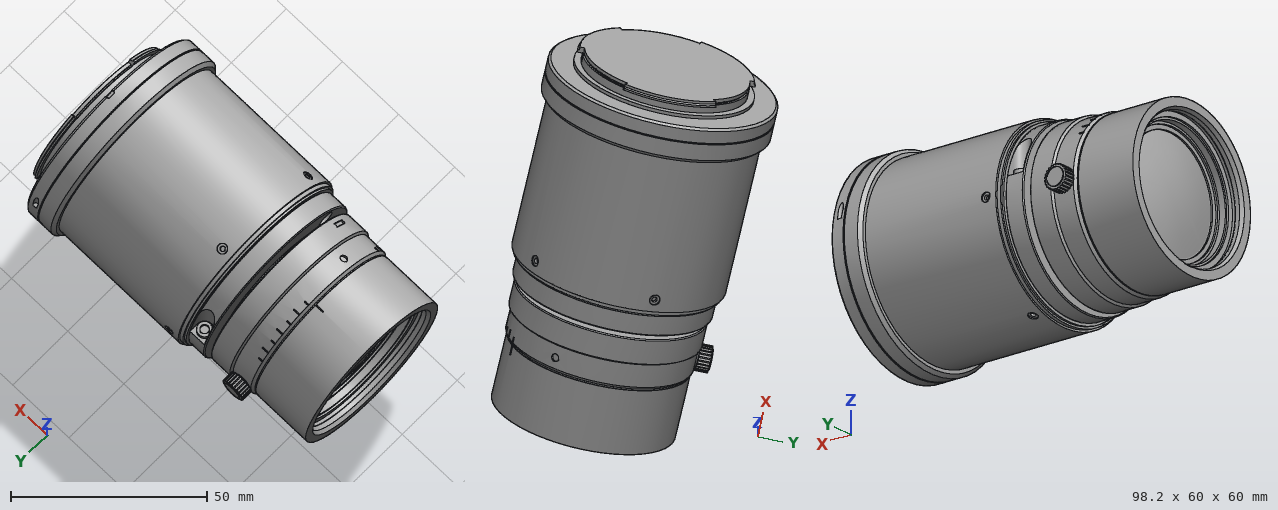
import cadquery as cq
import math

total_length = 98.2

hood_end, hood_radius = 17.9, 24.1
hood_groove_end, hood_groove_radius = 18.3, 23.9
iris_start, iris_end, iris_radius = 19.0, 25.3, 24.5
focus_start, focus_end, focus_radius = 25.8, 32.6, 25.2
neck_radius = 19.3
lock_start, lock_end, lock_radius = 34.1, 39.9, 26.1
collar_start, collar_radius, collar_step_radius = 40.4, 27.4, 26.8
barrel_start, barrel_radius = 41.5, 28.0
flange_start, flange_end, flange_diameter = 83.9, 93.7, 60.0
flange_radius = flange_diameter / 2
flange_front_chamfer, flange_rear_chamfer = 1.0, 0.6
flange_seam_x, flange_seam_width, flange_seam_depth = 89.3, 0.3, 0.2
seat_end, seat_radius = 94.5, 23.6
mount_neck_radius = 21.8
lug_start, lug_radius, lug_rim_radius = 96.7, 23.2, 22.8
lug_bevel_start, lug_bevel_end = 97.2, 97.5
ring_chamfer = 0.3

mouth_radius, mouth_depth = 21.5, 3.6
thread_start, thread_end, thread_radius = 1.1, 2.6, 20.9
relief_radius = 21.2
bore_entry_radius, bore_entry_depth = 19.6, 4.2
bore_radius, bore_depth = 19.0, 6.2
retainer_radius, retainer_depth = 18.4, 6.8
lens_seat_radius, lens_radius, lens_edge_depth = 17.1, 16.8, 7.3
lens_apex_depth = 4.8

cut_clearance = 1.0

iris_screw_angles = (-60, 60)
iris_screw_x, iris_screw_diameter, iris_screw_depth = 21.9, 2.1, 0.6
barrel_screw_count, first_barrel_screw_angle = 5, 36
barrel_screw_x, barrel_screw_diameter, barrel_screw_recess = 44.8, 2.7, 0.4
socket_diameter, socket_depth = 1.4, 1.2

iris_dot_x, iris_dot_diameter = 23.9, 1.5
mark_depth, mark_width = 0.15, 0.3
tick_count, tick_pitch, first_tick_angle = 7, 7.9, -21.8
short_tick, long_tick = 1.4, 2.1
scale_offsets = (0, 120)
index_angles = (-20, 95)
index_length = 2.65

knob_x, knob_radius = 22.0, 3.5
knob_cap_radius, knob_cap_height = 2.65, 0.3
knob_base, knob_top = 24.8, 28.4
knob_stem_radius = 2.5
knurl_count, knurl_radius = 24, 0.3

lock_slot_x, lock_slot_y, lock_slot_width, lock_slot_floor = 37.1, 22.9, 5.1, 5.2
lock_head_diameter, lock_head_height = 4.1, 1.5
lock_socket_diameter, lock_socket_depth = 2.5, 1.0

focus_slot_start, focus_slot_end, focus_slot_angle = 29.6, 30.8, 40
focus_slot_length, focus_slot_depth = 4.3, 0.5
lock_hole_angle, lock_hole_distance = 37, 22.7
lock_hole_diameter, lock_hole_depth = 4.5, 4.9

flange_hole_x, flange_hole_y, flange_hole_diameter, flange_hole_floor = 91.1, 29.2, 1.5, 4.9

mount_dot_diameter, mount_dot_depth = 2.5, 0.4

lug_gaps = ((-61, -1), (57, 113), (178, 236))
gap_channel_width, gap_channel_radius, gap_rim_radius = 0.5, 21.2, 21.6
mount_pin_x, mount_pin_angle = 95.6, -2.8
mount_pin_diameter, mount_pin_recess = 2.0, 0.3


def radial_direction(angle):
    a = math.radians(angle)
    return cq.Vector(0, -math.cos(a), math.sin(a))


def radial_cylinder(x, angle, inner, outer, diameter):
    direction = radial_direction(angle)
    start = cq.Vector(x, 0, 0) + direction * inner
    return cq.Workplane(cq.Solid.makeCylinder(diameter / 2, outer - inner, start, direction))


def radial_box(x_start, x_end, angle, inner, outer, width):
    box = cq.Workplane("XY").box(x_end - x_start, outer - inner, width)
    box = box.translate(((x_start + x_end) / 2, -(inner + outer) / 2, 0))
    return box.rotate((0, 0, 0), (1, 0, 0), -angle)


def make_body():
    outside = [
        (0, hood_radius),
        (hood_end, hood_radius),
        (hood_end, hood_groove_radius),
        (hood_groove_end, hood_groove_radius),
        (iris_start, iris_radius),
        (iris_end, iris_radius),
        (focus_start, focus_radius),
        (focus_end - ring_chamfer, focus_radius),
        (focus_end, focus_radius - ring_chamfer),
        (focus_end, neck_radius),
        (lock_start, neck_radius),
        (lock_start, lock_radius - ring_chamfer),
        (lock_start + ring_chamfer, lock_radius),
        (lock_end - ring_chamfer, lock_radius),
        (lock_end, lock_radius - ring_chamfer),
        (lock_end, collar_step_radius),
        (collar_start, collar_step_radius),
        (collar_start, collar_radius),
        (barrel_start, collar_radius),
        (barrel_start, barrel_radius),
        (flange_start, barrel_radius),
        (flange_start, flange_radius - flange_front_chamfer),
        (flange_start + flange_front_chamfer, flange_radius),
        (flange_seam_x, flange_radius),
        (flange_seam_x, flange_radius - flange_seam_depth),
        (flange_seam_x + flange_seam_width, flange_radius - flange_seam_depth),
        (flange_seam_x + flange_seam_width, flange_radius),
        (flange_end - flange_rear_chamfer, flange_radius),
        (flange_end, flange_radius - flange_rear_chamfer),
        (flange_end, seat_radius),
        (seat_end, seat_radius),
        (seat_end, mount_neck_radius),
        (lug_start, mount_neck_radius),
        (lug_start, lug_radius),
        (lug_bevel_start, lug_radius),
        (lug_bevel_end, lug_rim_radius),
        (total_length, lug_rim_radius),
        (total_length, 0),
        (lens_apex_depth, 0),
    ]
    opening = [
        (lens_edge_depth, lens_seat_radius),
        (retainer_depth, lens_seat_radius),
        (retainer_depth, retainer_radius),
        (bore_depth, retainer_radius),
        (bore_depth, bore_radius),
        (bore_entry_depth, bore_radius),
        (bore_entry_depth, bore_entry_radius),
        (mouth_depth, bore_entry_radius),
        (mouth_depth, relief_radius),
        (thread_end, relief_radius),
        (thread_end, thread_radius),
        (thread_start, thread_radius),
        (0, mouth_radius),
    ]
    sag = lens_edge_depth - lens_apex_depth
    sphere_radius = (lens_radius**2 + sag**2) / (2 * sag)
    half_radius = lens_radius / 2
    mid_depth = lens_apex_depth + sphere_radius - math.sqrt(sphere_radius**2 - half_radius**2)
    profile = cq.Workplane("XY").polyline(outside)
    profile = profile.threePointArc((mid_depth, half_radius), (lens_edge_depth, lens_radius))
    for point in opening:
        profile = profile.lineTo(*point)
    return profile.close().revolve(360, (0, 0, 0), (1, 0, 0))


def cut_lug_gaps(body):
    mount_face = cq.Workplane("YZ", origin=(lug_start, 0, 0))
    core = mount_face.circle(gap_channel_radius).extrude(total_length - lug_start)
    rim = (
        mount_face.workplane(offset=gap_channel_width)
        .circle(gap_rim_radius)
        .extrude(total_length - lug_start - gap_channel_width)
    )
    core = core.union(rim)
    for first, last in lug_gaps:
        middle = (first + last) / 2
        reach = 2 * lug_radius
        half_width = reach * math.tan(math.radians(last - first) / 2)
        wedge = (
            mount_face.polyline([(0, 0), (-reach, -half_width), (-reach, half_width)])
            .close()
            .extrude(total_length - lug_start)
            .rotate((0, 0, 0), (1, 0, 0), -middle)
        )
        body = body.cut(wedge.cut(core))
    return body


def cut_socket_screw(body, x, angle, radius, diameter, recess):
    body = body.cut(radial_cylinder(x, angle, radius - recess, radius + cut_clearance, diameter))
    return body.cut(radial_cylinder(x, angle, radius - socket_depth, radius, socket_diameter))


def cut_screws(body):
    for angle in iris_screw_angles:
        inner = iris_radius - iris_screw_depth
        hole = radial_cylinder(iris_screw_x, angle, inner, iris_radius + cut_clearance, iris_screw_diameter)
        body = body.cut(hole)
    for i in range(barrel_screw_count):
        angle = first_barrel_screw_angle + i * 360 / barrel_screw_count
        body = cut_socket_screw(
            body, barrel_screw_x, angle, barrel_radius, barrel_screw_diameter, barrel_screw_recess
        )
    return cut_socket_screw(
        body, mount_pin_x, mount_pin_angle, mount_neck_radius, mount_pin_diameter, mount_pin_recess
    )


def cut_scale(body):
    inner = iris_radius - mark_depth
    outer = iris_radius + cut_clearance
    for offset in scale_offsets:
        for i in range(tick_count):
            angle = offset + first_tick_angle + i * tick_pitch
            length = long_tick if i % 2 else short_tick
            tick = radial_box(iris_start, iris_start + length, angle, inner, outer, mark_width)
            body = body.cut(tick)
    for angle in index_angles:
        index_line = radial_box(
            hood_end - index_length,
            hood_end,
            angle,
            hood_radius - mark_depth,
            hood_radius + cut_clearance,
            mark_width,
        )
        body = body.cut(index_line)
    return body.cut(radial_cylinder(iris_dot_x, 0, inner, outer, iris_dot_diameter))


def knob_disc(base, top, radius):
    return cq.Workplane("XZ", origin=(knob_x, base, 0)).circle(radius).extrude(base - top)


def make_knob():
    rim_end = knob_top - knob_cap_height
    rim = knob_disc(knob_base, rim_end, knob_radius)
    knurls = (
        cq.Workplane("XZ", origin=(knob_x, knob_base, 0))
        .polarArray(knob_radius, 0, 360, knurl_count)
        .circle(knurl_radius)
        .extrude(knob_base - rim_end)
    )
    cap = knob_disc(rim_end, knob_top, knob_cap_radius)
    stem = knob_disc(neck_radius, knob_base, knob_stem_radius)
    return rim.cut(knurls).union(cap).union(stem)


def add_lock_screw(body):
    floor = cq.Workplane("XY", origin=(lock_slot_x, lock_slot_y, lock_slot_floor))
    round_end = floor.circle(lock_slot_width / 2).extrude(lock_radius)
    open_side = (
        floor.center(0, lock_slot_width / 2).rect(lock_slot_width, lock_slot_width).extrude(lock_radius)
    )
    head = (
        floor.circle(lock_head_diameter / 2)
        .extrude(lock_head_height)
        .faces(">Z")
        .workplane()
        .hole(lock_socket_diameter, lock_socket_depth)
    )
    return body.cut(round_end).cut(open_side).union(head)


def cut_focus_openings(body):
    slot = radial_box(
        focus_slot_start,
        focus_slot_end,
        focus_slot_angle,
        focus_radius - focus_slot_depth,
        focus_radius + cut_clearance,
        focus_slot_length,
    )
    hole_center = radial_direction(lock_hole_angle) * lock_hole_distance + cq.Vector(lock_start, 0, 0)
    hole = cq.Solid.makeCylinder(lock_hole_diameter / 2, lock_hole_depth, hole_center, cq.Vector(1, 0, 0))
    return body.cut(slot).cut(cq.Workplane(hole))


def cut_flange_marks(body):
    hole = (
        cq.Workplane("XY", origin=(flange_hole_x, flange_hole_y, flange_hole_floor))
        .circle(flange_hole_diameter / 2)
        .extrude(flange_radius)
    )
    normal = cq.Vector(1, 0, 1).normalized()
    chamfer_middle = cq.Vector(
        flange_end - flange_rear_chamfer / 2, 0, flange_radius - flange_rear_chamfer / 2
    )
    dot = cq.Solid.makeCylinder(
        mount_dot_diameter / 2,
        mount_dot_depth + cut_clearance,
        chamfer_middle - normal * mount_dot_depth,
        normal,
    )
    return body.cut(hole).cut(cq.Workplane(dot))


body = make_body()
body = cut_lug_gaps(body)
body = cut_screws(body)
body = cut_scale(body)
body = cut_focus_openings(body)
body = add_lock_screw(body)
body = cut_flange_marks(body)
result = body.union(make_knob())